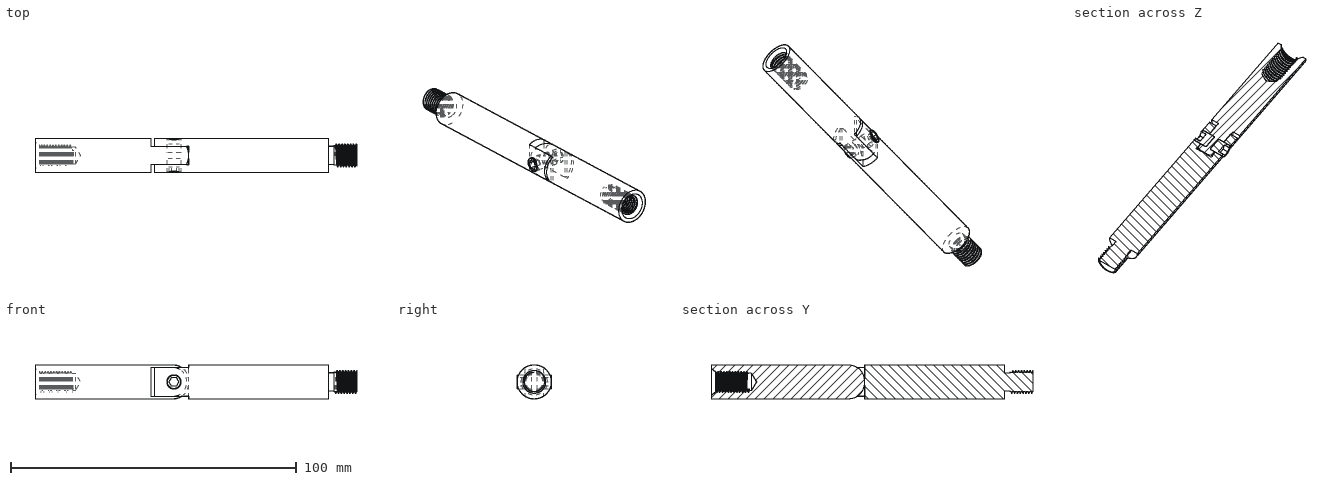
import cadquery as cq
import math


rod_radius = 6.0
total_length = 112.64

fork_length = 61.0
slot_length = 12.0
slot_width = 6.4
stud_length = 10.0
neck_length = 2.0
neck_radius = 3.25
stud_thread_radius = 4.0
stud_start_x = total_length - stud_length
stud_thread_start_x = stud_start_x + neck_length
fork_start_x = stud_start_x - fork_length
slot_end_x = fork_start_x + slot_length

shoulder_x = 40.5
tongue_tip_radius = 5.5
bore_radius = 3.0
bore_depth = 14.0
drill_tip_angle = 118.0
bore_mouth_radius = 4.6
bore_mouth_depth = 1.4

pivot_from_shoulder = 8.0
pivot_x = shoulder_x + pivot_from_shoulder
screw_radius = 2.5
screw_length = 5.0
hex_across_flats = 3.0
hex_depth = 2.0
hex_turn = 30.0
screw_chamfer = 0.2

pitch = 1.0
thread_depth = 0.6
crest_width = pitch / 8
root_width = 0.8 * pitch
root_overlap = 0.1


def cylinder_x(radius, start_x, end_x):
    return cq.Workplane("YZ", origin=(start_x, 0, 0)).circle(radius).extrude(end_x - start_x)


def flat_bar_x(width, start_x, end_x):
    """Bar along X, as high as the rod and of the given width across Y."""
    length = end_x - start_x
    return cq.Workplane("XY", origin=(start_x + length / 2, 0, 0)).box(length, width, 2 * rod_radius)


def thread_ridge(inner_radius, start_x, end_x):
    """Right-handed helical ridge standing on a cylinder around X, its root sunk below the surface."""
    root_radius = inner_radius - root_overlap
    crest_radius = inner_radius + thread_depth
    path = cq.Wire.makeHelix(pitch, end_x - start_x, inner_radius)
    ridge = (
        cq.Workplane("XZ")
        .polyline(
            [
                (root_radius, -root_width / 2),
                (crest_radius, -crest_width / 2),
                (crest_radius, crest_width / 2),
                (root_radius, root_width / 2),
            ]
        )
        .close()
        .sweep(cq.Workplane(path), isFrenet=True)
    )
    return ridge.rotate((0, 0, 0), (0, 1, 0), 90).translate((start_x, 0, 0))


def make_socket_rod():
    body = cylinder_x(rod_radius, 0, shoulder_x)

    tongue = cylinder_x(rod_radius, shoulder_x, slot_end_x)
    tongue = tongue.faces(">X").edges().fillet(tongue_tip_radius)
    tongue = tongue.intersect(flat_bar_x(slot_width, shoulder_x, slot_end_x))

    drill_tip_length = bore_radius / math.tan(math.radians(drill_tip_angle / 2))
    bore = (
        cq.Workplane("XY")
        .polyline(
            [
                (0, 0),
                (0, bore_mouth_radius),
                (bore_mouth_depth, bore_radius + thread_depth),
                (bore_mouth_depth, bore_radius),
                (bore_depth, bore_radius),
                (bore_depth + drill_tip_length, 0),
            ]
        )
        .close()
        .revolve(360, (0, 0, 0), (1, 0, 0))
    )
    groove = thread_ridge(bore_radius, bore_mouth_depth - pitch / 2, bore_depth - pitch)
    body = body.union(tongue).cut(bore.union(groove))
    for side in (-1, 1):
        body = body.cut(screw_blank(side))
    return body


def make_fork_rod():
    body = cylinder_x(rod_radius, fork_start_x, stud_start_x)
    slot = flat_bar_x(slot_width, fork_start_x, slot_end_x)
    body = body.cut(slot)
    for side in (-1, 1):
        body = body.cut(screw_blank(side))

    core_radius = stud_thread_radius - thread_depth
    neck = cylinder_x(neck_radius, stud_start_x, stud_thread_start_x)
    core = cylinder_x(core_radius, stud_thread_start_x, total_length)
    ridge = thread_ridge(core_radius, stud_thread_start_x + pitch / 2, total_length + pitch)
    ridge = ridge.intersect(cylinder_x(rod_radius, stud_thread_start_x, total_length))
    return body.union(neck).union(core).union(ridge)


def screw_blank(side):
    """Plain cylinder of one pivot screw, entering from the +Y (1) or -Y (-1) side."""
    blank = cq.Workplane("XZ", origin=(pivot_x, -rod_radius, 0)).circle(screw_radius).extrude(-screw_length)
    return blank if side < 0 else blank.mirror("XZ")


def make_pivot_screw(side):
    """Screw with a hexagon socket whose upper and lower flats are level."""
    hex_socket = (
        cq.Workplane("XZ", origin=(pivot_x, side * rod_radius, 0))
        .transformed(rotate=(0, 0, hex_turn))
        .polygon(6, hex_across_flats, circumscribed=True)
        .extrude(side * hex_depth)
    )
    head_face = "<Y" if side < 0 else ">Y"
    return screw_blank(side).faces(head_face).chamfer(screw_chamfer).cut(hex_socket)


socket_rod = make_socket_rod()
fork_rod = make_fork_rod()
pivot_screws = [make_pivot_screw(side) for side in (-1, 1)]

result = cq.Compound.makeCompound([socket_rod.val(), fork_rod.val(), *[s.val() for s in pivot_screws]])